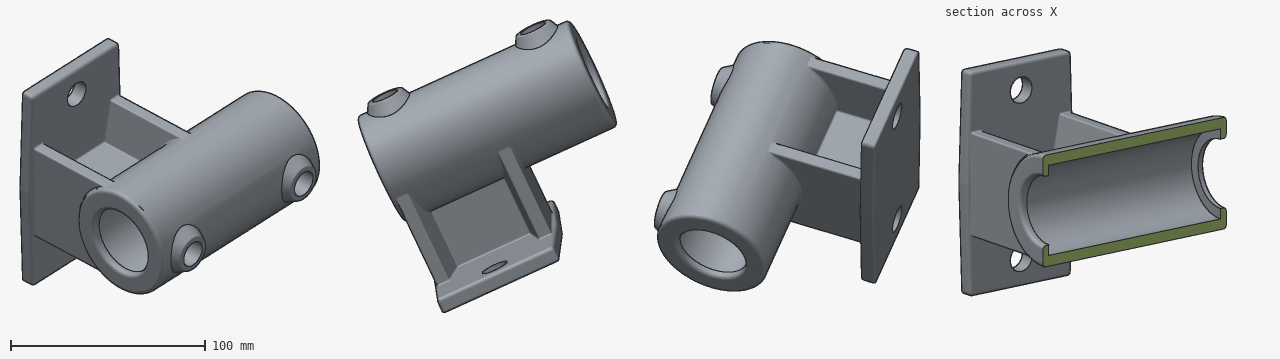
import cadquery as cq
import math

tube_length = 120.0
tube_diameter = 60.0
bore_diameter = 37.0
tube_rounding = 2.0
recess_diameter = 48.0
lip_length = 4.1

plate_thickness = 8.0
plate_height = 120.0
plate_mid_width = 70.0
plate_end_width = 66.0
plate_corner_radius = 2.0
plate_back_rounding = 2.0
plate_front_rounding = 1.0
plate_center_y = plate_mid_width / 2

plate_hole_diameter = 14.0
plate_hole_spacing = 90.0

neck_height = 55.2
neck_width = 65.0
rib_edge_thickness = 7.0
rib_root_thickness = 11.8
web_thickness = 7.0
neck_rounding = 1.0
root_rounding = 1.0

overall_width = 105.0
boss_inset = 18.0
boss_tip_diameter = 19.5
boss_taper = math.radians(28)
boss_tip_rounding = 1.0
set_screw_diameter = 14.0

tube_axis_x = overall_width - 34.3
tube_radius = tube_diameter / 2
boss_positions = (boss_inset, tube_length - boss_inset)


def along_tube(diameter, end_margin=0):
    """Cylinder on the tube axis, stopping the same margin short of both tube ends."""
    profile = cq.Workplane("XZ", origin=(tube_axis_x, end_margin, 0)).circle(diameter / 2)
    return profile.extrude(2 * end_margin - tube_length)


def make_plate():
    half_height = plate_height / 2
    half_mid = plate_mid_width / 2
    half_end = plate_end_width / 2
    outline = [
        (-half_end, -half_height),
        (half_end, -half_height),
        (half_mid, 0),
        (half_end, half_height),
        (-half_end, half_height),
        (-half_mid, 0),
    ]
    plate = cq.Workplane("YZ", origin=(0, plate_center_y, 0)).polyline(outline).close()
    plate = plate.extrude(plate_thickness)
    corners = plate.faces("<Z or >Z").edges("|X")
    plate = corners.fillet(plate_corner_radius)
    plate = plate.faces(">X").edges().fillet(plate_back_rounding)
    return plate.faces("<X").edges().fillet(plate_front_rounding)


def make_neck():
    """H section with inner rib faces leaning towards the web, rounded, run to the tube axis."""
    half_width = neck_width / 2
    half_height = neck_height / 2
    edge_y = half_width - rib_edge_thickness
    root_y = half_width - rib_root_thickness
    root_z = web_thickness / 2
    outline = [
        (-half_width, -half_height),
        (-edge_y, -half_height),
        (-root_y, -root_z),
        (root_y, -root_z),
        (edge_y, -half_height),
        (half_width, -half_height),
        (half_width, half_height),
        (edge_y, half_height),
        (root_y, root_z),
        (-root_y, root_z),
        (-edge_y, half_height),
        (-half_width, half_height),
    ]
    section = cq.Workplane("YZ", origin=(plate_thickness / 2, plate_center_y, 0))
    neck = section.polyline(outline).close().extrude(tube_axis_x - plate_thickness / 2)
    return neck.edges("|X").fillet(neck_rounding)


def make_boss(y):
    """Conical boss from the recess wall out to its flat tip."""
    base_x = tube_axis_x + recess_diameter / 2
    height = overall_width - base_x
    tip_radius = boss_tip_diameter / 2
    base_radius = tip_radius + height * math.tan(boss_taper)
    profile = [(0, 0), (base_radius, 0), (tip_radius, height), (0, height)]
    boss = cq.Workplane("XY").polyline(profile).close().revolve(360, (0, 0, 0), (0, 1, 0))
    boss = boss.faces(">Y").edges().fillet(boss_tip_rounding)
    return boss.rotate((0, 0, 0), (0, 0, 1), -90).translate((base_x, y, 0))


def drill_along_x(body, start_x, depth, diameter, y, z):
    drill = cq.Workplane("YZ", origin=(start_x, y, z)).circle(diameter / 2).extrude(depth)
    return body.cut(drill)


def edges_between(body, start_x, end_x):
    """Edges whose centre lies between two X positions."""
    reach = plate_height
    return body.edges(cq.selectors.BoxSelector((start_x, -reach, -reach), (end_x, reach, reach)))


bore = along_tube(bore_diameter)
recess = along_tube(recess_diameter, lip_length)

body = make_neck().union(along_tube(tube_diameter))
body = edges_between(body, tube_axis_x - tube_radius - root_rounding, tube_axis_x - bore_diameter / 4)
body = body.fillet(root_rounding)
body = body.cut(bore)
body = body.faces("<Y or >Y").edges("%CIRCLE").fillet(tube_rounding)
body = body.union(make_plate())
body = edges_between(body, plate_thickness - 0.1, plate_thickness + 0.1)
body = body.fillet(root_rounding)

for boss_y in boss_positions:
    body = body.union(make_boss(boss_y))
body = body.cut(bore).cut(recess)

for boss_y in boss_positions:
    body = drill_along_x(body, tube_axis_x, tube_diameter, set_screw_diameter, boss_y, 0)

for side in (-1, 1):
    hole_z = side * plate_hole_spacing / 2
    body = drill_along_x(body, 0, plate_thickness, plate_hole_diameter, plate_center_y, hole_z)

result = body